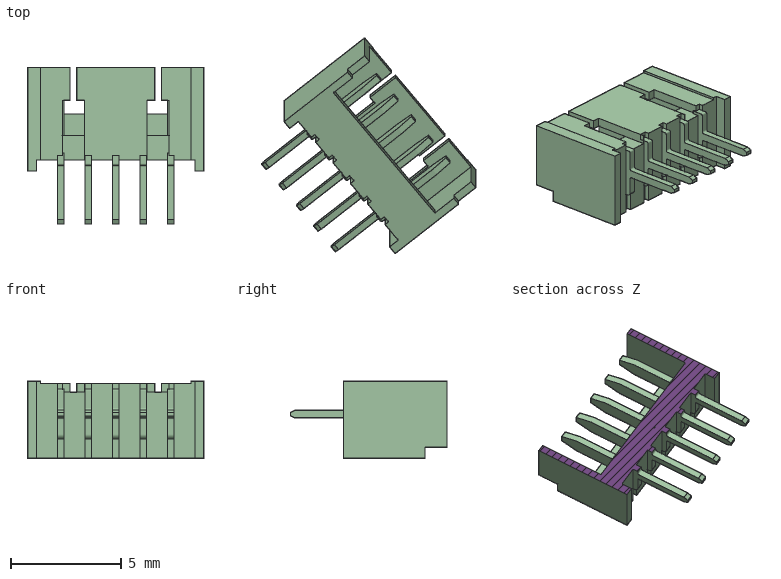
import cadquery as cq


width = 8.0
height = 3.5
lid_top = 3.4
body_depth = 4.2
rail_width = 0.6
wing_thickness = 0.41
wing_overhang = 0.5
front_notch_depth = 1.0
front_notch_height = 0.5

side_wall_thickness = 0.35
lid_bottom = 3.0
floor_top = 0.5
floor_front = 2.1
rear_wall_thickness = 1.1

latch_center = 1.92
latch_gap_width = 0.29
latch_window_width = 0.99
latch_window_front = 1.5

pin_count = 5
pitch = 1.25
pin_width = 0.3
tail_thickness = 0.35
pin_center_z = 2.01
tail_end = 7.1
tail_tip_length = 0.2
tail_tip_thickness = 0.15
contact_thickness = 0.75
contact_end = 0.4
contact_tip_length = 0.78
contact_tip_thickness = 0.33

slot_depth = 0.2
shoulder_bottom = 0.88
shoulder_top = 3.14
shoulder_embed = 0.31
shoulder_overhang = 0.25
shoulder_round = 0.08
shoulder_bottom_round = 0.2

pin_positions = [(i - (pin_count - 1) / 2) * pitch for i in range(pin_count)]


def block(x_min, x_max, y_min, y_max, z_min, z_max):
    """Axis-aligned box given by its limits."""
    size = (x_max - x_min, y_max - y_min, z_max - z_min)
    return cq.Workplane("XY").box(*size, centered=False).translate((x_min, y_min, z_min))


def centered_block(x_center, x_size, y_min, y_max, z_min, z_max):
    """Axis-aligned box centred on x_center."""
    half = x_size / 2
    return block(x_center - half, x_center + half, y_min, y_max, z_min, z_max)


def make_shell():
    """Housing with raised side rails, rear wings and a cavity open at the front."""
    shell = centered_block(0, width, -body_depth, 0, 0, lid_top)
    for side in (-1, 1):
        rail_center = side * (width - rail_width) / 2
        wing_center = side * (width - wing_thickness) / 2
        wing_rear = -body_depth - wing_overhang
        shell = shell.union(centered_block(rail_center, rail_width, -body_depth, 0, 0, height))
        shell = shell.union(centered_block(wing_center, wing_thickness, wing_rear, 0, 0, height))

    cavity_width = width - 2 * side_wall_thickness
    cavity_rear = rear_wall_thickness - body_depth
    shell = shell.cut(centered_block(0, cavity_width, cavity_rear, 0, floor_top, lid_bottom))
    shell = shell.cut(centered_block(0, cavity_width, -floor_front, 0, 0, floor_top))
    return shell.cut(centered_block(0, width, -front_notch_depth, 0, 0, front_notch_height))


def cut_latch_openings(housing):
    """Narrow gap at the lid front that widens into a window reaching the rear."""
    for x in (-latch_center, latch_center):
        gap = centered_block(x, latch_gap_width, -latch_window_front, 0, lid_bottom, lid_top)
        window = centered_block(
            x, latch_window_width, -body_depth, -latch_window_front, lid_bottom, lid_top
        )
        housing = housing.cut(gap).cut(window)
    return housing


def cut_pin_slots(housing):
    """Full-height grooves in the rear wall, one behind each pin."""
    for x in pin_positions:
        slot = centered_block(x, pin_width, -body_depth, slot_depth - body_depth, 0, lid_top)
        housing = housing.cut(slot)
    return housing


def make_pin():
    """Pin with a rear tail, an upright shoulder and a thicker front contact, centred on x = 0."""
    tail_tip_half = tail_tip_thickness / 2
    contact_tip_half = contact_tip_thickness / 2
    tail_bottom = pin_center_z - tail_thickness / 2
    tail_top = pin_center_z + tail_thickness / 2
    contact_bottom = pin_center_z - contact_thickness / 2
    contact_top = pin_center_z + contact_thickness / 2
    inner = shoulder_embed - body_depth
    outer = -body_depth - shoulder_overhang
    tail_taper = tail_tip_length - tail_end
    contact_taper = -contact_end - contact_tip_length
    profile = (
        cq.Workplane("YZ")
        .moveTo(-tail_end, pin_center_z - tail_tip_half)
        .lineTo(-tail_end, pin_center_z + tail_tip_half)
        .lineTo(tail_taper, tail_top)
        .lineTo(outer - shoulder_round, tail_top)
        .radiusArc((outer, tail_top + shoulder_round), -shoulder_round)
        .lineTo(outer, shoulder_top - shoulder_round)
        .radiusArc((outer + shoulder_round, shoulder_top), shoulder_round)
        .lineTo(inner, shoulder_top)
        .lineTo(inner, contact_top)
        .lineTo(contact_taper, contact_top)
        .lineTo(-contact_end, pin_center_z + contact_tip_half)
        .lineTo(-contact_end, pin_center_z - contact_tip_half)
        .lineTo(contact_taper, contact_bottom)
        .lineTo(inner, contact_bottom)
        .lineTo(inner, shoulder_bottom)
        .lineTo(outer + shoulder_bottom_round, shoulder_bottom)
        .radiusArc((outer, shoulder_bottom + shoulder_bottom_round), shoulder_bottom_round)
        .lineTo(outer, tail_bottom - shoulder_round)
        .radiusArc((outer - shoulder_round, tail_bottom), -shoulder_round)
        .lineTo(tail_taper, tail_bottom)
        .close()
    )
    return profile.extrude(pin_width / 2, both=True)


housing = cut_pin_slots(cut_latch_openings(make_shell()))
pin = make_pin()
for x in pin_positions:
    housing = housing.union(pin.translate((x, 0, 0)))

result = housing